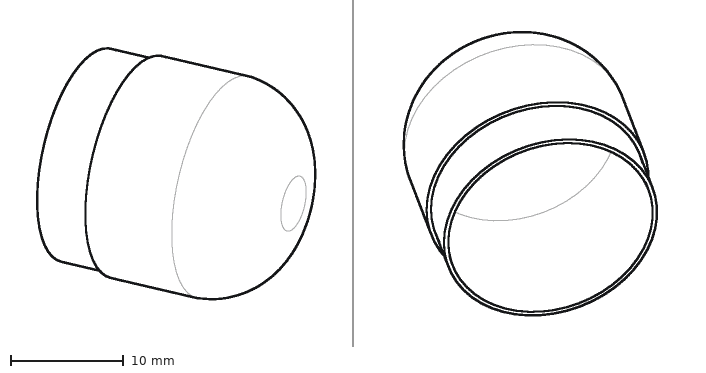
import cadquery as cq
import math

total_length = 20.6
neck_length = 5.0
dome_length = 7.0
body_diameter = 20.25
neck_diameter = 19.45
bore_diameter = 18.65
flat_diameter = 5.0

body_radius = body_diameter / 2
neck_radius = neck_diameter / 2
bore_radius = bore_diameter / 2
flat_radius = flat_diameter / 2
wall = body_radius - bore_radius
dome_start = total_length - dome_length
inner_end = total_length - wall


def add_dome(profile, rim_radius, end_x):
    """Continue a profile from the dome rim to the axis, by an arc tangent to the flat end."""
    length = end_x - dome_start
    rise = rim_radius - flat_radius
    arc_radius = (length**2 + rise**2) / (2 * length)
    mid_angle = math.asin(rise / arc_radius) / 2
    mid_point = (
        end_x - arc_radius + arc_radius * math.cos(mid_angle),
        flat_radius + arc_radius * math.sin(mid_angle),
    )
    return profile.threePointArc(mid_point, (end_x, flat_radius)).lineTo(end_x, 0)


def revolve_about_x(profile):
    """Close a half profile along the X axis and turn it into a solid."""
    return profile.close().revolve(360, (0, 0, 0), (1, 0, 0))


def make_outer_cap():
    """Solid cap with the neck stepped in from the body."""
    profile = (
        cq.Workplane("XY")
        .lineTo(0, neck_radius)
        .lineTo(neck_length, neck_radius)
        .lineTo(neck_length, body_radius)
        .lineTo(dome_start, body_radius)
    )
    return revolve_about_x(add_dome(profile, body_radius, total_length))


def make_cavity():
    """Straight bore from the open end, finished by the inner dome."""
    profile = cq.Workplane("XY").lineTo(0, bore_radius).lineTo(dome_start, bore_radius)
    return revolve_about_x(add_dome(profile, bore_radius, inner_end))


result = make_outer_cap().cut(make_cavity())